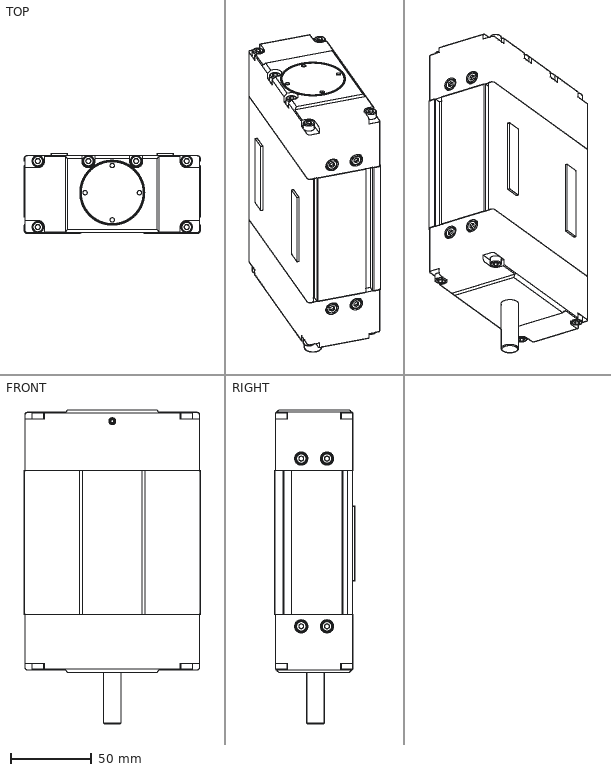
import cadquery as cq
import math

OVERALL_HEIGHT = 196.0

BODY_WIDTH = 110.0
BODY_FRONT = -25.5
BODY_BACK = 23.1
BODY_BOTTOM = 68.5
BODY_TOP = 158.2
BODY_FILLET = 2.0

PANEL_TOP_WIDTH = 40.8
PANEL_FLOOR_WIDTH = 37.2
PANEL_DEPTH = 1.0

SIDE_SLOTS = [(-19.8, -15.0), (17.2, 19.8)]
SIDE_SLOT_DEPTH = 4.9
SIDE_SLOT_CHAMFER = 0.5

PAD_WIDTH = 10.2
PAD_SPACING = 66.0
PAD_HEIGHT = 1.4
PAD_BOTTOM = 89.4
PAD_TOP = 136.0

CAP_WIDTH = 109.0
CAP_DEPTH = 48.2
CAP_CENTER_Y = -0.88
CAP_FILLET = 1.8
CAP_END_FILLET = 1.8
CAP_EDGE_CHAMFER = 0.5
TOP_CAP_HEIGHT = OVERALL_HEIGHT - BODY_TOP
BOTTOM_CAP_HEIGHT = 36.3

LAND_HEIGHT = 1.47
LAND_WIDTH = 58.0
LAND_SIDE_CHAMFER = 1.0
LAND_EDGE_CHAMFER = LAND_HEIGHT + CAP_EDGE_CHAMFER

HEAD_RADIUS = 3.5
HEAD_HEIGHT = 4.1
HEAD_CHAMFER = 0.5
SOCKET_SIZE = 3.0
SOCKET_DEPTH = 1.5
SEAT_RADIUS = 4.1
SEAT_DEPTH = HEAD_HEIGHT
CORNER_SCREW_X = 46.5
END_SCREW_Y = 20.5
INNER_SCREW_X = 14.9
SIDE_SCREW_SPACING = 16.0
SIDE_SCREW_OFFSET = 7.5

FRONT_HOLE_Z = 189.0
FRONT_HOLE_STEPS = [(2.2, 0.5), (1.5, 1.2), (1.0, 4.0)]

COVER_RADIUS = 19.8
COVER_THICKNESS = 4.0
COVER_CHAMFER = 0.49
COVER_HOLE_COUNT = 4
COVER_HOLE_RADIUS = 1.4
COVER_HOLE_CIRCLE = 16.95
COVER_HOLE_DEPTH = 1.0
COVER_HOLE_TIP = 1.4

SHAFT_RADIUS = 5.5
SHAFT_CHAMFER = 0.5


def box_between(x_range, y_range, z_range):
    """Box given by its low and high limits along each axis."""
    sizes = [high - low for low, high in (x_range, y_range, z_range)]
    low_corner = (x_range[0], y_range[0], z_range[0])
    return cq.Workplane("XY").box(*sizes, centered=False).translate(low_corner)


def make_panel_recess():
    """Material removed over the sunken panel, with sloped sides."""
    panel_floor = BODY_FRONT + PANEL_DEPTH
    top_x = PANEL_TOP_WIDTH / 2
    floor_x = PANEL_FLOOR_WIDTH / 2
    return (
        cq.Workplane("XY", origin=(0, 0, BODY_BOTTOM))
        .polyline([
            (-top_x, BODY_FRONT),
            (top_x, BODY_FRONT),
            (floor_x, panel_floor),
            (-floor_x, panel_floor),
        ])
        .close()
        .extrude(BODY_TOP - BODY_BOTTOM)
    )


def make_side_slot(low_y, high_y):
    """Slot in the -X face, with a chamfer along its low Y edge."""
    face_x = -BODY_WIDTH / 2
    floor_x = face_x + SIDE_SLOT_DEPTH
    return (
        cq.Workplane("XY", origin=(0, 0, BODY_BOTTOM))
        .polyline([
            (face_x, low_y - SIDE_SLOT_CHAMFER),
            (face_x + SIDE_SLOT_CHAMFER, low_y),
            (floor_x, low_y),
            (floor_x, high_y),
            (face_x, high_y),
        ])
        .close()
        .extrude(BODY_TOP - BODY_BOTTOM)
    )


def make_body():
    """Middle body with its front panel, side slots and back pads."""
    half_width = BODY_WIDTH / 2
    z_range = (BODY_BOTTOM, BODY_TOP)
    body = box_between((-half_width, half_width), (BODY_FRONT, BODY_BACK), z_range)
    body = body.edges("|Z").fillet(BODY_FILLET)

    body = body.cut(make_panel_recess())
    for low_y, high_y in SIDE_SLOTS:
        slot = make_side_slot(low_y, high_y)
        body = body.cut(slot).cut(slot.mirror("YZ"))

    for side in (-1, 1):
        pad_x = side * PAD_SPACING / 2
        pad = box_between(
            (pad_x - PAD_WIDTH / 2, pad_x + PAD_WIDTH / 2),
            (BODY_BACK, BODY_BACK + PAD_HEIGHT),
            (PAD_BOTTOM, PAD_TOP),
        )
        body = body.union(pad)
    return body


def make_screw_head():
    """Screw head standing on Z = 0, with a hexagon socket that ends in a cone."""
    corner_diameter = SOCKET_SIZE / math.cos(math.pi / 6)
    socket_floor = HEAD_HEIGHT - SOCKET_DEPTH
    cone_radius = SOCKET_SIZE / 2
    cone = cq.Solid.makeCone(0, cone_radius, cone_radius / 2).translate(
        cq.Vector(0, 0, socket_floor - cone_radius / 2)
    )
    return (
        cq.Workplane("XY")
        .circle(HEAD_RADIUS)
        .extrude(HEAD_HEIGHT)
        .faces(">Z")
        .edges()
        .chamfer(HEAD_CHAMFER)
        .faces(">Z")
        .workplane()
        .polygon(6, corner_diameter)
        .cutBlind(-SOCKET_DEPTH)
        .cut(cq.Workplane(cone))
    )


def make_land(cap_height):
    """Land on the cap end: sloped sides in X, 45 degree edges at front and back."""
    face_z = cap_height - LAND_HEIGHT
    base_z = face_z - SEAT_DEPTH
    half_width = LAND_WIDTH / 2
    half_depth = CAP_DEPTH / 2
    across = (
        cq.Workplane("XZ")
        .polyline([
            (-half_width, base_z),
            (half_width, base_z),
            (half_width, face_z),
            (half_width - LAND_SIDE_CHAMFER, cap_height),
            (LAND_SIDE_CHAMFER - half_width, cap_height),
            (-half_width, face_z),
        ])
        .close()
        .extrude(half_depth, both=True)
    )
    chamfer_z = cap_height - LAND_EDGE_CHAMFER
    along = (
        cq.Workplane("YZ")
        .polyline([
            (-half_depth, base_z),
            (half_depth, base_z),
            (half_depth, chamfer_z),
            (half_depth - LAND_EDGE_CHAMFER, cap_height),
            (LAND_EDGE_CHAMFER - half_depth, cap_height),
            (-half_depth, chamfer_z),
        ])
        .close()
        .extrude(half_width, both=True)
    )
    return across.intersect(along)


def make_corner_seat(height):
    """Pocket around a screw on the Z axis, open towards +X and +Y."""
    reach = CAP_WIDTH / 2
    return (
        box_between((-SEAT_RADIUS, reach), (-SEAT_RADIUS, reach), (0, height))
        .edges("|Z and <X and <Y")
        .fillet(SEAT_RADIUS)
    )


def make_inner_seat(height):
    """Pocket around a screw on the Z axis, open towards +Y only."""
    slot = box_between((-SEAT_RADIUS, SEAT_RADIUS), (0, CAP_DEPTH), (0, height))
    return cq.Workplane("XY").circle(SEAT_RADIUS).extrude(height).union(slot)


def make_cap(cap_height, inner_screws):
    """End cap with its joint face on Z = 0, its end towards +Z and its middle on the Z axis."""
    face_z = cap_height - LAND_HEIGHT
    seat_z = face_z - SEAT_DEPTH
    seat_height = cap_height - seat_z
    block = cq.Workplane("XY").rect(CAP_WIDTH, CAP_DEPTH).extrude(face_z)
    rounded_sides = block.edges("|Z").fillet(CAP_FILLET)
    cap = block.faces(">Z").edges("|Y").fillet(CAP_END_FILLET)
    cap = cap.faces(">Z").edges("|X").chamfer(CAP_EDGE_CHAMFER)
    cap = cap.intersect(rounded_sides).union(make_land(cap_height))

    corner_seat = make_corner_seat(seat_height)
    screw_head = make_screw_head()
    for side in (-1, 1):
        for end in (-1, 1):
            seat = corner_seat
            if side < 0:
                seat = seat.mirror("YZ")
            if end < 0:
                seat = seat.mirror("XZ")
            place = (side * CORNER_SCREW_X, end * END_SCREW_Y, seat_z)
            cap = cap.cut(seat.translate(place)).union(screw_head.translate(place))

    if inner_screws:
        inner_seat = make_inner_seat(seat_height)
        for screw_x in (-INNER_SCREW_X, INNER_SCREW_X):
            place = (screw_x, END_SCREW_Y, seat_z)
            cap = cap.cut(inner_seat.translate(place)).union(screw_head.translate(place))

    side_seat = cq.Workplane("XY").circle(SEAT_RADIUS).extrude(SEAT_DEPTH)
    for side in (-1, 1):
        turn = side * 90
        for screw_y in (-SIDE_SCREW_SPACING / 2, SIDE_SCREW_SPACING / 2):
            place = (side * (CAP_WIDTH / 2 - SEAT_DEPTH), screw_y, SIDE_SCREW_OFFSET)
            seat = side_seat.rotate((0, 0, 0), (0, 1, 0), turn).translate(place)
            head = screw_head.rotate((0, 0, 0), (0, 1, 0), turn).translate(place)
            cap = cap.cut(seat).union(head)
    return cap


def make_cover():
    """Round cover, flush with the end of the top cap, with four cone-ended holes."""
    cover_bottom = OVERALL_HEIGHT - COVER_THICKNESS
    cover = (
        cq.Workplane("XY", origin=(0, 0, cover_bottom))
        .circle(COVER_RADIUS)
        .extrude(COVER_THICKNESS)
        .faces(">Z")
        .edges()
        .chamfer(COVER_CHAMFER)
    )
    hole_floor = OVERALL_HEIGHT - COVER_HOLE_DEPTH
    hole_tip = hole_floor - COVER_HOLE_TIP
    hole = (
        cq.Workplane("XZ")
        .polyline([
            (0, OVERALL_HEIGHT),
            (COVER_HOLE_RADIUS, OVERALL_HEIGHT),
            (COVER_HOLE_RADIUS, hole_floor),
            (0, hole_tip),
        ])
        .close()
        .revolve(360, (0, 0, 0), (0, 1, 0))
        .translate((COVER_HOLE_CIRCLE, 0, 0))
    )
    for number in range(COVER_HOLE_COUNT):
        angle = number * 360 / COVER_HOLE_COUNT
        cover = cover.cut(hole.rotate((0, 0, 0), (0, 0, 1), angle))
    return cover


def make_top_cap():
    """Top cap with the recess for the cover and the stepped hole in its front face."""
    cap = make_cap(TOP_CAP_HEIGHT, inner_screws=True)
    cap = cap.translate((0, CAP_CENTER_Y, BODY_TOP))

    recess_floor = OVERALL_HEIGHT - COVER_THICKNESS
    recess = cq.Workplane("XY", origin=(0, 0, recess_floor)).circle(COVER_RADIUS).extrude(COVER_THICKNESS)
    rim = cq.Solid.makeCone(COVER_RADIUS, COVER_RADIUS + COVER_CHAMFER, COVER_CHAMFER)
    rim = rim.translate(cq.Vector(0, 0, OVERALL_HEIGHT - COVER_CHAMFER))
    cap = cap.cut(recess).cut(cq.Workplane(rim))

    front_y = CAP_CENTER_Y - CAP_DEPTH / 2
    front_plane = cq.Workplane("XZ", origin=(0, front_y, FRONT_HOLE_Z))
    for radius, depth in FRONT_HOLE_STEPS:
        cap = cap.cut(front_plane.circle(radius).extrude(-depth))
    return cap


def make_shaft():
    """Shaft from its tip up to the middle body."""
    return (
        cq.Workplane("XY")
        .circle(SHAFT_RADIUS)
        .extrude(BODY_BOTTOM)
        .faces("<Z")
        .edges()
        .chamfer(SHAFT_CHAMFER)
    )


def make_bottom_cap():
    """Bottom cap, turned end down, with the bore for the shaft."""
    cap = make_cap(BOTTOM_CAP_HEIGHT, inner_screws=False).mirror("XY")
    cap = cap.translate((0, CAP_CENTER_Y, BODY_BOTTOM))
    bore = cq.Workplane("XY").circle(SHAFT_RADIUS).extrude(BODY_BOTTOM)
    return cap.cut(bore)


body = make_body()
top_cap = make_top_cap()
bottom_cap = make_bottom_cap()
cover = make_cover()
shaft = make_shaft()

result = cq.Compound.makeCompound([
    body.solids().val(),
    top_cap.solids().val(),
    bottom_cap.solids().val(),
    cover.solids().val(),
    shaft.solids().val(),
])